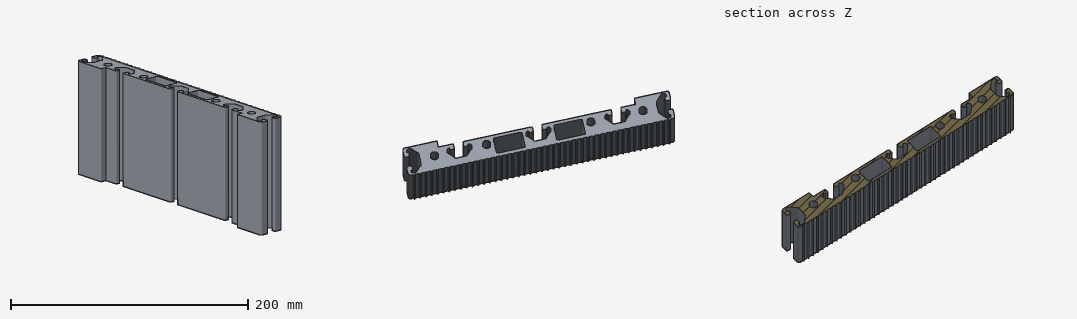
import cadquery as cq
import math

length = 230.0
depth = 25.0
height = 100.0

ridge_count = 45
ridge_end_margin = 5.0
ridge_height = 1.0
ridge_width = 2.0
ridge_root = 0.5
ridge_pitch = (length - 2 * ridge_end_margin) / (ridge_count - 1)

rear_y = depth / 2 - ridge_height
front_y = -depth / 2
middle_y = (rear_y + front_y) / 2
corner_radius = 2.3
foot_width = 30.0
foot_edge_x = length / 2 - foot_width
foot_step = 5.3
foot_edge_radius = 0.5
web_front_y = front_y + foot_step
web_middle_y = (web_front_y + rear_y) / 2

mouth_width = 8.0
mouth_half = mouth_width / 2
floor_depth = 12.6
lip_depth = 4.5
lip_tip_half = 7.4
pocket_center_half = 8.3
pocket_center_depth = 5.5
pocket_radius = 2.5
pocket_diagonal = pocket_radius * math.sqrt(0.5)
floor_half = pocket_center_half + pocket_center_depth + 2 * pocket_diagonal - floor_depth
lip_radius = 1.2
floor_radius = 1.4
outer_slot_x = 68.0
mouth_overrun = 2.3

hole_diameter = 7.0
outer_hole_x = 90.0
inner_hole_x = outer_hole_x / 2
hole_positions_x = (-outer_hole_x, -inner_hole_x, inner_hole_x, outer_hole_x)
chamber_width = 24.8
chamber_depth = 13.3
chamber_x = 26.0
chamber_radius = 1.4


def body_blank():
    """Solid bar with the recessed web between the two feet."""
    half = length / 2
    outline = [
        (-half, rear_y), (half, rear_y), (half, front_y), (foot_edge_x, front_y),
        (foot_edge_x, web_front_y), (-foot_edge_x, web_front_y),
        (-foot_edge_x, front_y), (-half, front_y),
    ]
    return cq.Workplane("XY").polyline(outline).close().extrude(height / 2, both=True)


def slot_half():
    """One half of a T-slot, mouth on the X axis and opening towards -Y."""
    return (
        cq.Workplane("XY")
        .moveTo(0, -mouth_overrun)
        .lineTo(mouth_half, -mouth_overrun)
        .lineTo(mouth_half, lip_depth)
        .lineTo(lip_tip_half, lip_depth)
        .lineTo(pocket_center_half, pocket_center_depth - pocket_radius)
        .threePointArc(
            (pocket_center_half + pocket_radius, pocket_center_depth),
            (pocket_center_half + pocket_diagonal, pocket_center_depth + pocket_diagonal),
        )
        .lineTo(floor_half, floor_depth)
        .lineTo(0, floor_depth)
        .close()
        .extrude(height / 2, both=True)
    )


def round_corners(body, corners, radius):
    """Fillet the edges along Z that pass through the given (x, y) corners."""
    for x, y in corners:
        body = body.edges(cq.selectors.NearestToPointSelector((x, y, 0))).fillet(radius)
    return body


def full_slot():
    """Complete T-slot with rounded floor corners."""
    half_slot = slot_half()
    slot = half_slot.union(half_slot.mirror("YZ"))
    floor_corners = [(-floor_half, floor_depth), (floor_half, floor_depth)]
    return round_corners(slot, floor_corners, floor_radius)


def place_slot(slot, turn, x, y):
    """Turn a slot about Z and move its mouth centre to (x, y)."""
    return slot.rotate((0, 0, 0), (0, 0, 1), turn).translate((x, y, 0))


def lip_corners(turn, x, y):
    """Positions of the lip corners on a placed slot."""
    cos_turn = math.cos(math.radians(turn))
    sin_turn = math.sin(math.radians(turn))
    corners = []
    for across in (-mouth_half, mouth_half):
        for corner_depth in (0, lip_depth):
            corners.append((
                x + across * cos_turn - corner_depth * sin_turn,
                y + across * sin_turn + corner_depth * cos_turn,
            ))
    return corners


def chamber(x):
    """Rounded rectangular hollow running the full height."""
    return (
        cq.Workplane("XY")
        .center(x, web_middle_y)
        .rect(chamber_width, chamber_depth)
        .extrude(height / 2, both=True)
        .edges("|Z")
        .fillet(chamber_radius)
    )


def ridges():
    """Row of triangular ridges, rooted slightly below the rear face."""
    root_y = rear_y - ridge_root
    row = cq.Workplane("XY")
    for index in range(ridge_count):
        x = (index - (ridge_count - 1) / 2) * ridge_pitch
        row = row.polyline([
            (x - ridge_width / 2, root_y), (x - ridge_width / 2, rear_y), (x, depth / 2),
            (x + ridge_width / 2, rear_y), (x + ridge_width / 2, root_y),
        ]).close()
    return row.extrude(height / 2, both=True)


end_slots = [(-90, -length / 2, middle_y), (90, length / 2, middle_y)]
front_slots = [(0, x, web_front_y) for x in (-outer_slot_x, 0, outer_slot_x)]

slots = end_slots + front_slots

slot_cutter = full_slot()
body = body_blank()
for turn, x, y in slots:
    body = body.cut(place_slot(slot_cutter, turn, x, y))

outer_corners = [(x, y) for x in (-length / 2, length / 2) for y in (rear_y, front_y)]
foot_corners = [(-foot_edge_x, front_y), (foot_edge_x, front_y)]
body = round_corners(body, outer_corners, corner_radius)
body = round_corners(body, foot_corners, foot_edge_radius)
for turn, x, y in slots:
    body = round_corners(body, lip_corners(turn, x, y), lip_radius)

holes = (
    cq.Workplane("XY")
    .pushPoints([(x, middle_y) for x in hole_positions_x])
    .circle(hole_diameter / 2)
    .extrude(height / 2, both=True)
)
body = body.cut(holes)
for x in (-chamber_x, chamber_x):
    body = body.cut(chamber(x))

result = body.union(ridges())